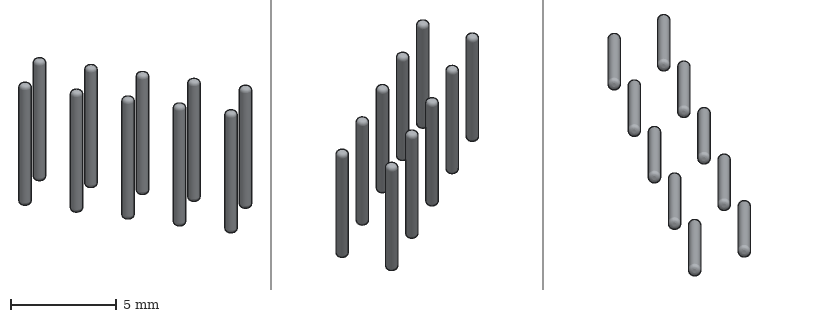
import cadquery as cq

pin_diameter = 0.6
pin_length = 6.5
end_rounding = pin_diameter / 3

pitch = 2.54
columns = 5
rows = 2


def make_pin(x, y):
    """Upright round pin, centred at (x, y), with both end edges rounded."""
    pin = cq.Workplane("XY").cylinder(pin_length, pin_diameter / 2)
    return pin.edges("%CIRCLE").fillet(end_rounding).translate((x, y, 0))


pins = []
for row in range(rows):
    for column in range(columns):
        pin_x = (column - (columns - 1) / 2) * pitch
        pin_y = (row - (rows - 1) / 2) * pitch
        pins.append(make_pin(pin_x, pin_y).val())

result = cq.Compound.makeCompound(pins)